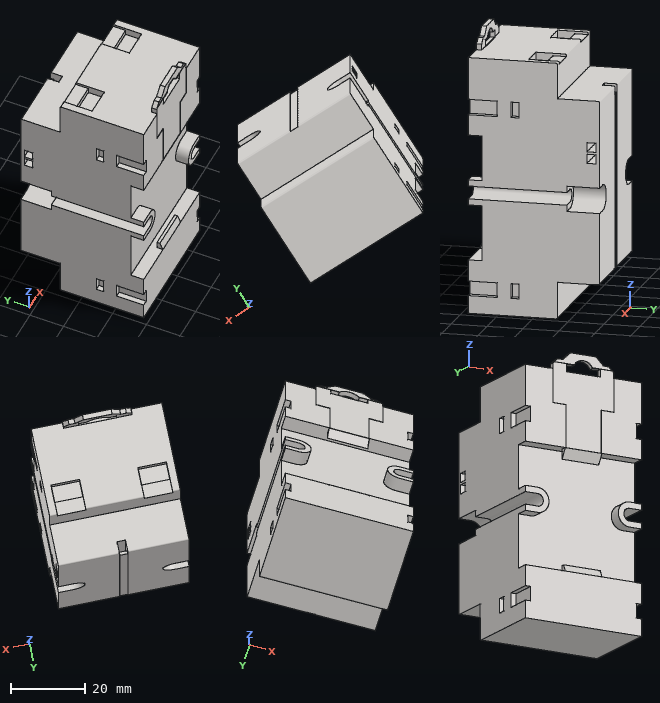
import cadquery as cq

WIDTH = 36.05
DEPTH = 36.6
HEIGHT = 76.7

HOUSING_TOP = 71.4
SHOULDER_Y = 24.85
FACE_BOTTOM = 10.3
FACE_TOP = 61.5
EDGE_ROUND = 0.45

CHANNEL_DEPTH = 3.8
CHANNEL_BOTTOM = 14.95
CHANNEL_TOP = 49.7

SCREW_Z = 33.75
SCREW_INSET = 3.75
SCREW_RADIUS = 1.8
COLLAR_RADIUS = 3.5
COUNTERBORE_Y = 27.5

HOOK_WIDTH = 11.35
HOOK_Y = 1.8
UPPER_HOOK_DROP = 2.8
LOWER_HOOK_RISE = 2.0
LOWER_HOOK_FLAT = 0.85

CLIP_THICKNESS = 1.6
CLIP_WIDTH = 18.9
CLIP_BOTTOM = 61.8
CLIP_SHOULDER_Z = 73.0
CLIP_LEDGE_Z = 74.5
CLIP_LEDGE_OUTER = 15.8
CLIP_LEDGE_INNER = 12.6
CLIP_TIP_WIDTH = 7.9
STEM_WIDTH = 11.0
CLIP_SINK = 0.1
GRIP_Z = 73.4
GRIP_SETBACK = 0.15
WINDOW_WIDTH = 10.4
WINDOW_BOTTOM = 71.2
WINDOW_TOP = 73.25
FINGER_RADIUS = 3.15
FINGER_Z = 71.9

RECESS_DEPTH = 1.6
RECESS_SPANS = ((5.0, 9.05), (55.45, 59.75))
REAR_RECESS_Y = 8.05
SLOT_Y = (12.0, 14.1)

TERMINAL_OUTER = 15.9
TERMINAL_INNER = 8.05
TERMINAL_REAR_Y = 16.35
TERMINAL_STEP_Y = 21.1
TERMINAL_LEDGE_DEPTH = 0.7
TERMINAL_DEPTH = 2.2

SEAL_Y = (33.1, 35.5)
SEAL_SIZE = 2.5
SEAL_BOTTOMS = (44.0, 47.25)
NOTCH_WIDTH = 2.3
NOTCH_GROOVE_DEPTH = 0.2
NOTCH_DEPTH = 2.3


def block(x0, x1, y0, y1, z0, z1):
    """Box between opposite corners."""
    return cq.Workplane("XY").box(x1 - x0, y1 - y0, z1 - z0, centered=False).translate((x0, y0, z0))


def profile_along_x(points, width):
    """Closed (Y, Z) outline extruded symmetrically about X = 0."""
    return cq.Workplane("YZ").polyline(points).close().extrude(width / 2, both=True)


def mirrored(half_outline):
    """Complete an (X, Z) half outline with its mirror image about X = 0."""
    return half_outline + [(-x, z) for x, z in reversed(half_outline)]


def housing():
    """Stepped body with rounded front corners and the rail channel."""
    body = profile_along_x([
        (0, 0), (SHOULDER_Y, 0), (SHOULDER_Y, FACE_BOTTOM), (DEPTH, FACE_BOTTOM),
        (DEPTH, FACE_TOP), (SHOULDER_Y, FACE_TOP), (SHOULDER_Y, HOUSING_TOP), (0, HOUSING_TOP),
    ], WIDTH)
    rounded_corners = ((SHOULDER_Y, 0), (SHOULDER_Y, HOUSING_TOP), (DEPTH, FACE_BOTTOM), (DEPTH, FACE_TOP))
    for y, z in rounded_corners:
        corner_edge = cq.selectors.NearestToPointSelector((0, y, z))
        body = body.edges(corner_edge).fillet(EDGE_ROUND)
    channel = block(-WIDTH, WIDTH, 0, CHANNEL_DEPTH, CHANNEL_BOTTOM, CHANNEL_TOP)
    return body.cut(channel)


def side_slot(side, radius, y_start, y_end):
    """Round-ended bar running in from one side, centred on the screw height."""
    half = WIDTH / 2
    centre = half - SCREW_INSET
    bar = block(centre, half, y_start, y_end, SCREW_Z - radius, SCREW_Z + radius)
    end = cq.Workplane("XZ", origin=(centre, y_start, SCREW_Z)).circle(radius).extrude(y_start - y_end)
    slot = bar.union(end)
    return slot if side > 0 else slot.mirror("YZ")


def add_screw_slots(body):
    for side in (-1, 1):
        body = body.union(side_slot(side, COLLAR_RADIUS, 0, CHANNEL_DEPTH))
        body = body.cut(side_slot(side, SCREW_RADIUS, 0, DEPTH))
        body = body.cut(side_slot(side, COLLAR_RADIUS, COUNTERBORE_Y, DEPTH))
    return body


def rail_hooks():
    upper = profile_along_x([
        (0, CHANNEL_TOP), (HOOK_Y, CHANNEL_TOP),
        (HOOK_Y, CHANNEL_TOP - UPPER_HOOK_DROP),
    ], HOOK_WIDTH)
    lower = profile_along_x([
        (0, CHANNEL_BOTTOM), (HOOK_Y, CHANNEL_BOTTOM),
        (HOOK_Y, CHANNEL_BOTTOM + LOWER_HOOK_RISE),
        (HOOK_Y - LOWER_HOOK_FLAT, CHANNEL_BOTTOM + LOWER_HOOK_RISE),
    ], HOOK_WIDTH)
    return upper.union(lower)


def clip_blank():
    """Solid clip outline from the rail side into the housing."""
    outline = mirrored([
        (STEM_WIDTH / 2, CHANNEL_TOP), (STEM_WIDTH / 2, CLIP_BOTTOM),
        (CLIP_WIDTH / 2, CLIP_BOTTOM), (CLIP_WIDTH / 2, CLIP_SHOULDER_Z),
        (CLIP_LEDGE_OUTER / 2, CLIP_LEDGE_Z), (CLIP_LEDGE_INNER / 2, CLIP_LEDGE_Z),
        (CLIP_TIP_WIDTH / 2, HEIGHT),
    ])
    return cq.Workplane("XZ").polyline(outline).close().extrude(-CLIP_THICKNESS)


def rail_clip():
    """Clip sunk slightly below the rail side, with a set-back finger grip on top."""
    clip = clip_blank().cut(block(-WIDTH, WIDTH, 0, CLIP_SINK, 0, HEIGHT))
    clip = clip.cut(block(-WIDTH, WIDTH, 0, GRIP_SETBACK, GRIP_Z, HEIGHT))
    window = block(-WINDOW_WIDTH / 2, WINDOW_WIDTH / 2, 0, CLIP_THICKNESS, WINDOW_BOTTOM, WINDOW_TOP)
    finger = cq.Workplane("XZ", origin=(0, 0, FINGER_Z)).circle(FINGER_RADIUS).extrude(-CLIP_THICKNESS)
    above = block(-WIDTH, WIDTH, 0, CLIP_THICKNESS, FINGER_Z, HEIGHT)
    return clip.cut(window).cut(finger.intersect(above))


def side_recesses():
    half = WIDTH / 2
    cutter = cq.Workplane("XY")
    for z0, z1 in RECESS_SPANS:
        for y0, y1 in ((0, REAR_RECESS_Y), SLOT_Y):
            recess = block(half - RECESS_DEPTH, half, y0, y1, z0, z1)
            cutter = cutter.add(recess).add(recess.mirror("YZ"))
    return cutter.combine()


def terminal_openings():
    x0, x1 = TERMINAL_INNER, TERMINAL_OUTER
    ledge = block(x0, x1, TERMINAL_STEP_Y, SHOULDER_Y, HOUSING_TOP - TERMINAL_LEDGE_DEPTH, HOUSING_TOP)
    well = block(x0, x1, TERMINAL_REAR_Y, TERMINAL_STEP_Y, HOUSING_TOP - TERMINAL_DEPTH, HOUSING_TOP)
    opening = ledge.union(well)
    return opening.union(opening.mirror("YZ"))


def seal_passages():
    cutter = cq.Workplane("XY")
    for z in SEAL_BOTTOMS:
        cutter = cutter.add(block(-WIDTH, WIDTH, *SEAL_Y, z, z + SEAL_SIZE))
    return cutter.combine()


def seal_notch():
    """Notch in the top of the front face, a well to the seal passages and a full-height groove."""
    half = NOTCH_WIDTH / 2
    notch = block(-half, half, SEAL_Y[0], DEPTH, FACE_TOP - NOTCH_DEPTH, FACE_TOP)
    well = block(-half, half, *SEAL_Y, min(SEAL_BOTTOMS), FACE_TOP)
    groove = block(-half, half, DEPTH - NOTCH_GROOVE_DEPTH, DEPTH, FACE_BOTTOM, FACE_TOP)
    return notch.union(well).union(groove)


result = add_screw_slots(housing())
result = result.cut(clip_blank()).union(rail_clip()).union(rail_hooks())
result = result.cut(side_recesses()).cut(terminal_openings())
result = result.cut(seal_passages()).cut(seal_notch())